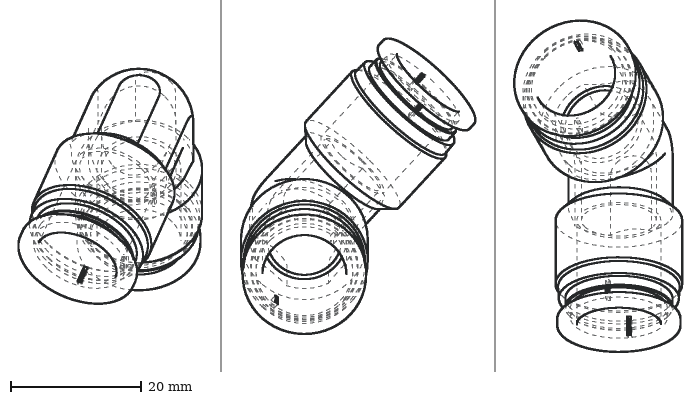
import cadquery as cq


elbow_half_width = 7.75
elbow_corner_radius = 8.4

shell_radius = 9.75
shell_start = 11.2
shell_end = 22.0
shell_chamfer_length = 0.45
shell_chamfer_depth = 0.4

outer_ring_end = 24.45
outer_ring_taper = 0.1
inner_ring_radius = 8.25
inner_ring_end = 26.05
inner_ring_chamfer = 0.1

neck_radius = 7.45
port_length = 29.2
flange_radius = 9.5
flange_thickness = 1.5
flange_edge_round = 0.25
collet_mouth_round = 0.5
slot_width = 0.56
slot_length = 3.1

tube_bore_radius = 6.45
tube_stop = shell_start
flow_bore_radius = 5.75


def cylinder(radius, start, end):
    """Cylinder on the Z axis, from start to end measured downward from the origin."""
    return cq.Workplane("XY").workplane(offset=-end).circle(radius).extrude(end - start)


def to_y_port(shape):
    """Swap the Y and Z axes, so that a shape built along -Z points along -Y."""
    return shape.rotate((0, 0, 0), (1, 0, 0), -90).mirror("XY")


def flat_block(y_start, z_start, height):
    """Block as wide as the flats, one half-width deep in Y, from its lowest Y and Z."""
    block = cq.Workplane("XY").box(
        2 * elbow_half_width, elbow_half_width, height, centered=(True, False, False)
    )
    return block.translate((0, y_start, z_start))


def make_elbow_leg():
    """Leg along -Z: flat-sided with round edges on its outer half, plain round on its inner half."""
    outer_block = flat_block(0, -shell_start, shell_start)
    inner_block = flat_block(-elbow_half_width, -shell_start, shell_start)
    outer_half = cylinder(elbow_corner_radius, 0, shell_start).intersect(outer_block)
    inner_half = cylinder(elbow_half_width, 0, shell_start).intersect(inner_block)
    return outer_half.union(inner_half)


def make_elbow_corner():
    """Outer corner: a quarter ball cut by the flats."""
    block = flat_block(0, 0, elbow_half_width)
    return cq.Workplane("XY").sphere(elbow_corner_radius).intersect(block)


def make_port():
    """Shell, rings and collet along -Z as one solid of revolution."""
    cone_start = shell_start - (shell_radius - elbow_half_width)
    chamfer_end = shell_end + shell_chamfer_length
    outer_ring_radius = shell_radius - shell_chamfer_depth
    flange_start = port_length - flange_thickness
    profile = (
        cq.Workplane("XZ")
        .moveTo(0, -cone_start)
        .lineTo(elbow_half_width, -cone_start)
        .lineTo(shell_radius, -shell_start)
        .lineTo(shell_radius, -shell_end)
        .lineTo(outer_ring_radius, -chamfer_end)
        .lineTo(outer_ring_radius - outer_ring_taper, -outer_ring_end)
        .lineTo(inner_ring_radius, -outer_ring_end)
        .lineTo(inner_ring_radius, -(inner_ring_end - inner_ring_chamfer))
        .lineTo(inner_ring_radius - inner_ring_chamfer, -inner_ring_end)
        .lineTo(neck_radius, -inner_ring_end)
        .lineTo(neck_radius, -flange_start)
        .lineTo(flange_radius - flange_edge_round, -flange_start)
        .radiusArc((flange_radius, -(flange_start + flange_edge_round)), flange_edge_round)
        .lineTo(flange_radius, -(port_length - flange_edge_round))
        .radiusArc((flange_radius - flange_edge_round, -port_length), flange_edge_round)
        .lineTo(0, -port_length)
        .close()
    )
    return profile.revolve(360, (0, 0, 0), (0, 1, 0))


def make_port_cavity():
    """Flow bore, tube socket with a rounded mouth, and the collet slots, along -Z."""
    mouth_radius = tube_bore_radius + collet_mouth_round
    socket = (
        cq.Workplane("XZ")
        .moveTo(0, 0)
        .lineTo(flow_bore_radius, 0)
        .lineTo(flow_bore_radius, -tube_stop)
        .lineTo(tube_bore_radius, -tube_stop)
        .lineTo(tube_bore_radius, -(port_length - collet_mouth_round))
        .radiusArc((mouth_radius, -port_length), -collet_mouth_round)
        .lineTo(0, -port_length)
        .close()
        .revolve(360, (0, 0, 0), (0, 1, 0))
    )
    slot_end = port_length - flange_thickness
    slots = (
        cq.Workplane("XY")
        .box(slot_width, 2 * neck_radius, slot_length, centered=(True, True, False))
        .translate((0, 0, -slot_end))
    )
    return socket.union(slots)


leg = make_elbow_leg()
port = make_port()
cavity = make_port_cavity()

result = make_elbow_corner()
for solid in (leg, port):
    result = result.union(solid).union(to_y_port(solid))

flow_corner = cq.Workplane("XY").sphere(flow_bore_radius)
result = result.cut(flow_corner).cut(cavity).cut(to_y_port(cavity))